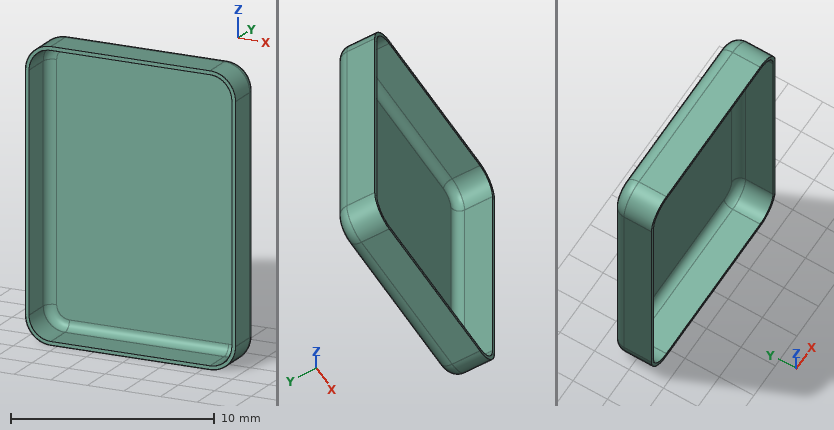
import cadquery as cq

width = 11.5
depth = 2.3
height = 15.5

wall = 0.2
corner_radius = 1.4
edge_radius = 0.7


def rounded_block(inset):
    """Round-cornered block, inset from the outer skin on its sides and its back."""
    block_depth = depth - inset
    return (
        cq.Workplane("XZ")
        .rect(width - 2 * inset, height - 2 * inset)
        .extrude(-block_depth)
        .edges("|Y")
        .fillet(corner_radius - inset)
        .faces(">Y")
        .edges()
        .fillet(edge_radius - inset)
    )


shell = rounded_block(0)
cavity = rounded_block(wall)

result = shell.cut(cavity)